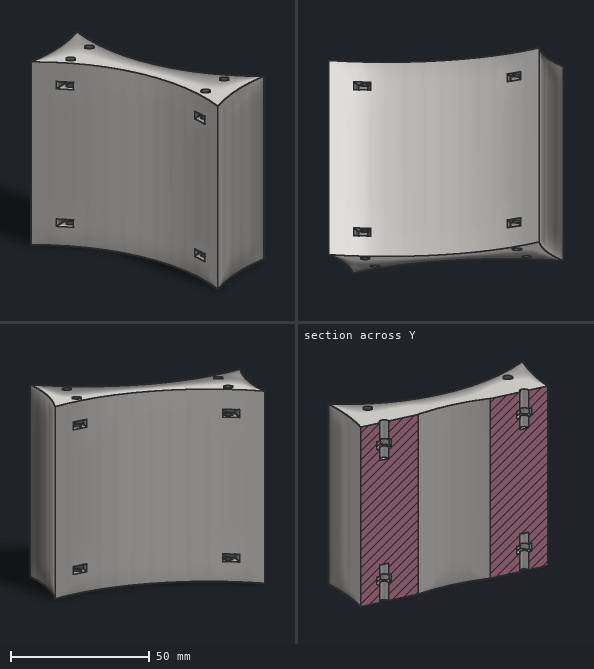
import cadquery as cq
import math

length = 79.0
height = 72.0
web_thickness = 10.0
side_radius = 75.0

screw_diameter = 3.4
screw_depth = 15.0
screw_x = 28.5
screw_y = 6.5

nut_across_flats = 5.7
nut_thickness = 2.9
nut_end_wall = 7.5


def arc_sag(chord):
    """Depth of a concave side spanning the given chord."""
    return side_radius - math.sqrt(side_radius**2 - (chord / 2)**2)


half_length = length / 2
half_width = web_thickness / 2 + arc_sag(length)
waist_x = half_length - arc_sag(2 * half_width)
waist_y = web_thickness / 2


def make_block():
    """Concave-sided outline, extruded upward from Z = 0."""
    return (
        cq.Workplane("XY")
        .moveTo(-half_length, -half_width)
        .threePointArc((0, -waist_y), (half_length, -half_width))
        .threePointArc((waist_x, 0), (half_length, half_width))
        .threePointArc((0, waist_y), (-half_length, half_width))
        .threePointArc((-waist_x, 0), (-half_length, -half_width))
        .close()
        .extrude(height)
    )


def make_screw_hole(x, y, bottom_z):
    return (
        cq.Workplane("XY", origin=(x, y, bottom_z))
        .circle(screw_diameter / 2)
        .extrude(screw_depth)
    )


def make_nut_pocket(x, y, bottom_z):
    """Slot as wide as the nut, ending in two hexagon flats that meet toward Y = 0."""
    outward = math.copysign(1, y)
    half_flats = nut_across_flats / 2
    corner_radius = nut_across_flats / math.sqrt(3)
    shoulder_y = y - outward * corner_radius / 2
    tip_y = y - outward * corner_radius
    mouth_y = outward * half_width
    return (
        cq.Workplane("XY", origin=(x, 0, bottom_z))
        .moveTo(-half_flats, mouth_y)
        .lineTo(-half_flats, shoulder_y)
        .lineTo(0, tip_y)
        .lineTo(half_flats, shoulder_y)
        .lineTo(half_flats, mouth_y)
        .close()
        .extrude(nut_thickness)
    )


result = make_block()
upper_screw_z = height - screw_depth
upper_nut_z = height - nut_end_wall - nut_thickness
for x in (-screw_x, screw_x):
    for y in (-screw_y, screw_y):
        for screw_z in (0, upper_screw_z):
            result = result.cut(make_screw_hole(x, y, screw_z))
        for nut_z in (nut_end_wall, upper_nut_z):
            result = result.cut(make_nut_pocket(x, y, nut_z))